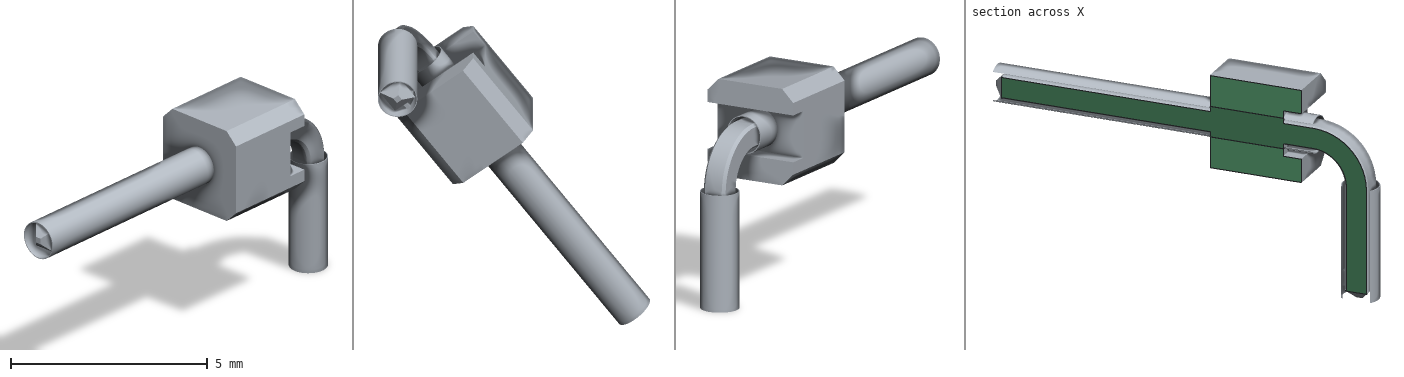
import cadquery as cq
import math

housing_size = 2.55
housing_chamfer = 0.33
notch_height = 1.24
notch_depth = 0.51

pin_width = 0.64
pin_edge_chamfer = 0.07
tip_flat = 0.16
tip_length = 0.25
bend_radius = 1.19

sleeve_diameter = 1.0
sleeve_wall = 0.02
sleeve_inner_diameter = sleeve_diameter - 2 * sleeve_wall
web_thickness = 0.11
web_height = 0.42

total_length = 10.56
total_height = 5.54
half_housing = housing_size / 2
back_y = 3.28
front_y = back_y - total_length
bottom_z = half_housing - total_height
leg_y = back_y - sleeve_diameter / 2
bend_start_y = leg_y - bend_radius
notch_floor_y = half_housing - notch_depth


def plane_facing_back(y):
    """Plane across the horizontal leg, with its normal along +Y."""
    return cq.Plane(origin=(0, y, 0), xDir=(1, 0, 0), normal=(0, 1, 0))


def plane_facing_up(z):
    """Plane across the vertical leg, with its normal along +Z."""
    return cq.Plane(origin=(0, leg_y, z), xDir=(1, 0, 0), normal=(0, 0, 1))


def make_housing():
    block = cq.Workplane("XY").box(housing_size, housing_size, housing_size)
    block = block.edges("|Y").chamfer(housing_chamfer)
    notch = cq.Workplane("XY").box(housing_size, notch_depth, notch_height)
    notch = notch.translate((0, half_housing - notch_depth / 2, 0))
    bore = (
        cq.Workplane(plane_facing_back(-half_housing))
        .circle(sleeve_diameter / 2)
        .extrude(housing_size)
    )
    return block.cut(notch).cut(bore)


def wire_section(plane):
    """Square outline with chamfered corners, drawn on the plane."""
    half_width = pin_width / 2
    flat = half_width - pin_edge_chamfer
    corners = [
        (flat, half_width), (half_width, flat), (half_width, -flat), (flat, -half_width),
        (-flat, -half_width), (-half_width, -flat), (-half_width, flat), (-flat, half_width),
    ]
    return cq.Workplane(plane).polyline(corners).close()


def make_tip(end_plane):
    """Tapered tip that widens from the end flat along the plane normal."""
    return (
        cq.Workplane(end_plane)
        .rect(tip_flat, tip_flat)
        .workplane(offset=tip_length)
        .rect(pin_width, pin_width)
        .loft(ruled=True)
    )


def make_wire():
    """Square wire along Y, bent down to -Z, with a tapered tip at each end."""
    leg_start_y = front_y + tip_length
    leg_end_z = bottom_z + tip_length

    horizontal = wire_section(plane_facing_back(leg_start_y)).extrude(bend_start_y - leg_start_y)
    vertical = wire_section(plane_facing_up(leg_end_z)).extrude(-bend_radius - leg_end_z)

    arc_y = bend_start_y + bend_radius * math.sin(math.pi / 4)
    arc_z = -bend_radius * (1 - math.cos(math.pi / 4))
    path = (
        cq.Workplane("YZ")
        .moveTo(bend_start_y, 0)
        .threePointArc((arc_y, arc_z), (leg_y, -bend_radius))
    )
    bend = wire_section(plane_facing_back(bend_start_y)).sweep(path)

    wire = horizontal.union(bend).union(vertical)
    wire = wire.union(make_tip(plane_facing_back(front_y)))
    return wire.union(make_tip(plane_facing_up(bottom_z)))


def make_sleeve(end_plane, length):
    """Thin open tube that starts on the plane and follows its normal."""
    return (
        cq.Workplane(end_plane)
        .circle(sleeve_diameter / 2)
        .circle(sleeve_inner_diameter / 2)
        .extrude(length)
    )


def make_pin():
    horizontal_sleeve = make_sleeve(plane_facing_back(front_y), bend_start_y - front_y)
    vertical_sleeve = make_sleeve(plane_facing_up(bottom_z), -bend_radius - bottom_z)

    collar = (
        cq.Workplane(plane_facing_back(-half_housing))
        .circle(sleeve_diameter / 2)
        .extrude(notch_floor_y + half_housing)
    )
    web_length = (sleeve_diameter - sleeve_wall) / 2
    web = (
        cq.Workplane(plane_facing_up(bottom_z + tip_length))
        .center(0, -web_length / 2)
        .rect(web_thickness, web_length)
        .extrude(web_height)
    )
    pin = make_wire()
    for piece in (collar, horizontal_sleeve, web, vertical_sleeve):
        pin = pin.union(piece)
    return pin


housing = make_housing()
pin = make_pin()
result = cq.Compound.makeCompound([housing.val(), *pin.vals()])